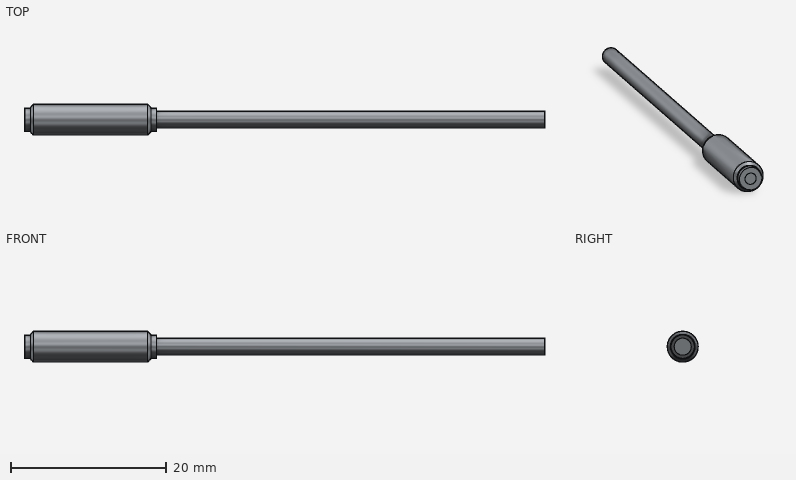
import cadquery as cq

TOTAL_LENGTH = 67.0
SLEEVE_LENGTH = 17.0
BARREL_DIAMETER = 4.0
BARREL_CHAMFER = 0.4
NECK_DIAMETER = 3.0
NECK_LENGTH = 0.75
CABLE_DIAMETER = 2.2
CORE_DIAMETER = 1.5


def cylinder_along_x(diameter, start, end):
    """Solid cylinder on the X axis between two X positions."""
    return cq.Workplane("YZ", origin=(start, 0, 0)).circle(diameter / 2).extrude(end - start)


def make_core():
    """Core rod filling the sleeve bore, flush with both sleeve ends."""
    return cylinder_along_x(CORE_DIAMETER, 0, SLEEVE_LENGTH)


def make_sleeve():
    """Barrel with chamfered rims and a narrower neck at each end, bored through for the core."""
    barrel = cylinder_along_x(BARREL_DIAMETER, NECK_LENGTH, SLEEVE_LENGTH - NECK_LENGTH)
    barrel = barrel.faces("<X or >X").chamfer(BARREL_CHAMFER)
    necks = cylinder_along_x(NECK_DIAMETER, 0, SLEEVE_LENGTH)
    return barrel.union(necks).cut(make_core())


def make_cable():
    """Plain round cable butting against the rear face of the sleeve."""
    return cylinder_along_x(CABLE_DIAMETER, SLEEVE_LENGTH, TOTAL_LENGTH)


sleeve = make_sleeve()
core = make_core()
cable = make_cable()

result = cq.Compound.makeCompound([sleeve.solids().val(), core.val(), cable.val()])